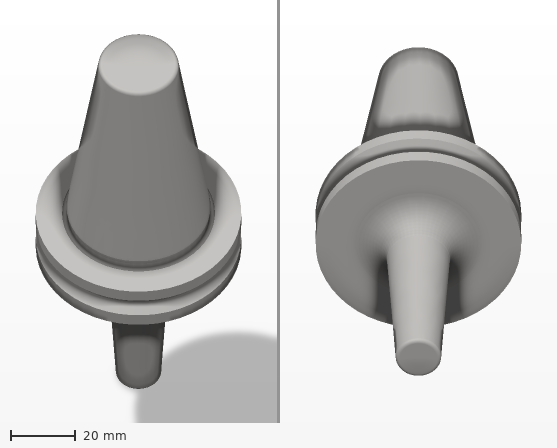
import cadquery as cq
import math

total_height = 148.4
gauge_z = 80.0
collar_z = 78.7
flange_top_z = 76.7
flange_bottom_z = 60.8

gauge_radius = 22.3
taper_slope = 7 / 48
shank_end_fillet = 1.2

collar_radius = 22.1
undercut_radius = 0.7

flange_radius = 31.8
groove_floor_radius = 28.0
groove_center_z = 68.9
groove_floor_width = 2.7
groove_flank_angle = 30
groove_fillet = 0.6

nose_radius = 7.0
nose_fillet = 1.2
nose_half_angle = 3
root_radius = 9.6


def shank_radius(z):
    """Radius of the taper shank at height z."""
    return gauge_radius - taper_slope * (z - gauge_z)


def fillet_ring(body, radius, z, fillet_radius):
    """Round the circular edge of the given radius at height z."""
    margin = 0.01
    edge_box = cq.selectors.BoxSelector(
        (-radius - margin, -radius - margin, z - margin),
        (radius + margin, radius + margin, z + margin),
        boundingbox=True,
    )
    return body.edges(edge_box).edges("%CIRCLE").fillet(fillet_radius)


floor_half = groove_floor_width / 2
flank_height = (flange_radius - groove_floor_radius) * math.tan(math.radians(groove_flank_angle))
mouth_half = floor_half + flank_height

tilt = math.radians(nose_half_angle)
root_center_z = flange_bottom_z - root_radius
root_start_z = root_center_z + root_radius * math.sin(tilt)
root_start_radius = nose_radius + root_start_z * math.tan(tilt)
root_center_radius = root_start_radius + root_radius * math.cos(tilt)
root_mid_angle = (math.pi / 2 + math.pi - tilt) / 2
root_mid = (
    root_center_radius + root_radius * math.cos(root_mid_angle),
    root_center_z + root_radius * math.sin(root_mid_angle),
)

profile = (
    cq.Workplane("XZ")
    .moveTo(0, 0)
    .lineTo(nose_radius, 0)
    .lineTo(root_start_radius, root_start_z)
    .threePointArc(root_mid, (root_center_radius, flange_bottom_z))
    .lineTo(flange_radius, flange_bottom_z)
    .lineTo(flange_radius, groove_center_z - mouth_half)
    .lineTo(groove_floor_radius, groove_center_z - floor_half)
    .lineTo(groove_floor_radius, groove_center_z + floor_half)
    .lineTo(flange_radius, groove_center_z + mouth_half)
    .lineTo(flange_radius, flange_top_z)
    .lineTo(collar_radius + 2 * undercut_radius, flange_top_z)
    .threePointArc(
        (collar_radius + undercut_radius, flange_top_z - undercut_radius),
        (collar_radius, flange_top_z),
    )
    .lineTo(collar_radius, collar_z)
    .lineTo(gauge_radius, gauge_z)
    .lineTo(shank_radius(total_height), total_height)
    .lineTo(0, total_height)
    .close()
)
result = profile.revolve(360, (0, 0, 0), (0, 1, 0))

result = fillet_ring(result, nose_radius, 0, nose_fillet)
result = fillet_ring(result, shank_radius(total_height), total_height, shank_end_fillet)
for side in (-1, 1):
    corner_z = groove_center_z + side * floor_half
    result = fillet_ring(result, groove_floor_radius, corner_z, groove_fillet)